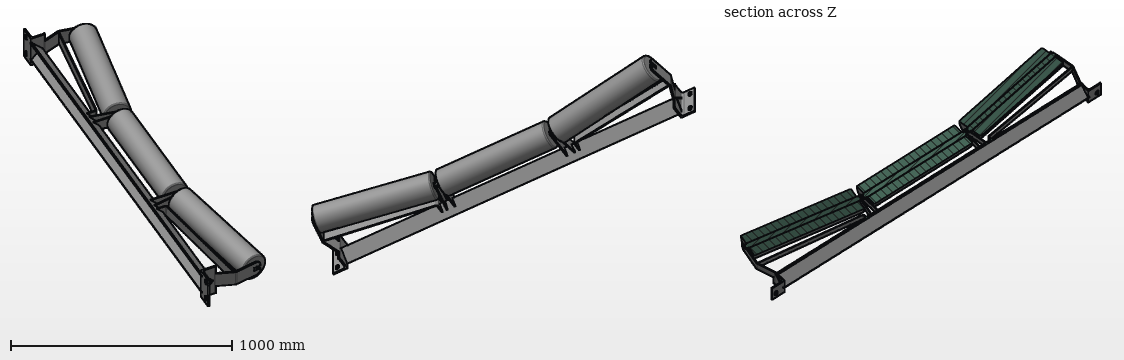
import cadquery as cq
import math

overall_length = 1900.0
trough_angle = 10.0

roller_diameter = 133.0
roller_length = 568.0
roller_edge_radius = 5.0
middle_axis_height = 160.0
side_roller_x = 602.0
side_roller_y = 215.0
shaft_diameter = 25.0
shaft_tang = 17.0
plate_offset = 295.0

beam_leg = 76.0
beam_thickness = 8.0
ridge_height = (beam_leg + beam_thickness) / math.sqrt(2)
inner_ridge_height = ridge_height - beam_thickness * math.sqrt(2)

bracket_thickness = 8.0
bracket_width = 160.0
flange_length = 75.0
foot_height = 72.0
foot_bend_radius = 11.0
foot_bend_height = 66.0
arm_width = 75.0
arm_bend_height = 158.0
arm_bend_radius = 10.0
arm_reach = 27.0
arm_corner_radius = 23.0
bolt_slot_length = 27.0
bolt_slot_width = 17.0
bolt_slot_inset = 23.0
bolt_slot_spacing = 99.0

weld_plate_thickness = 6.0
weld_plate_width = 57.0
weld_plate_bottom = 30.0
saddle_height = 182.0
strap_bend_x = 361.0
strap_bend_height = 78.0
strap_bend_radius = 5.0

half_length = overall_length / 2
foot_inner_x = half_length - flange_length
foot_x = foot_inner_x + bracket_thickness / 2
beam_length = 2 * (foot_inner_x + bracket_thickness)
tilt = math.radians(trough_angle)


def beside_roller(along, across):
    """Point in XY given along and across the axis of the right-hand side roller."""
    return (
        side_roller_x + along * math.cos(tilt) - across * math.sin(tilt),
        side_roller_y + along * math.sin(tilt) + across * math.cos(tilt),
    )


def across_at_height(along, height):
    """Distance across the side roller axis at which a plate reaches a height."""
    return (height - side_roller_y - along * math.sin(tilt)) / math.cos(tilt)


arm_bend = beside_roller(plate_offset, across_at_height(plate_offset, arm_bend_height))


def on_side_roller(body):
    """Move a body from the origin to the right-hand side roller."""
    return body.rotate((0, 0, 0), (0, 0, 1), trough_angle).translate((side_roller_x, side_roller_y, 0))


def on_left(body):
    return body.mirror("YZ")


def bent_plate(points, thickness, width, bend_radius=None):
    """Plate whose mid-thickness line follows the points in XY, centred on Z = 0."""
    path = cq.Wire.makePolygon([cq.Vector(*point) for point in points])
    if bend_radius:
        path = path.fillet(bend_radius)
    first, second = cq.Vector(*points[0]), cq.Vector(*points[1])
    start = cq.Plane(origin=first, xDir=(0, 0, 1), normal=second - first)
    return cq.Workplane(start).rect(width, thickness).sweep(cq.Workplane(path), transition="right")


def open_slot(along):
    """Cutter for the slot that drops a shaft end into a plate, around an axis along X."""
    return (
        cq.Workplane()
        .box(4 * bracket_thickness, roller_diameter, shaft_tang)
        .translate((along, (roller_diameter - shaft_tang) / 2, 0))
    )


def rod(diameter, length):
    """Cylinder along X, centred on the origin."""
    return cq.Workplane("YZ").workplane(offset=-length / 2).circle(diameter / 2).extrude(length)


def make_roller():
    roller = rod(roller_diameter, roller_length).faces("|X").edges().fillet(roller_edge_radius)
    return roller.cut(rod(shaft_diameter, roller_length))


def make_shaft():
    """Round shaft up to the plates, with square ends that fill the plate slots."""
    shaft = rod(shaft_diameter, 2 * plate_offset - bracket_thickness)
    return shaft.union(cq.Workplane().box(2 * plate_offset + weld_plate_thickness, shaft_tang, shaft_tang))


def make_beam():
    outer_foot = beam_leg / math.sqrt(2)
    tip_height = ridge_height - outer_foot
    points = [
        (ridge_height, 0),
        (tip_height, outer_foot),
        (0, inner_ridge_height),
        (inner_ridge_height, 0),
        (0, -inner_ridge_height),
        (tip_height, -outer_foot),
    ]
    return cq.Workplane("YZ").polyline(points).close().extrude(beam_length / 2, both=True)


def make_beam_hollow():
    points = [(inner_ridge_height, 0), (0, inner_ridge_height), (0, -inner_ridge_height)]
    return cq.Workplane("YZ").polyline(points).close().extrude(beam_length / 2, both=True)


def make_saddle():
    """Bent saddle carrying the right end of the middle roller and the inner end of the side roller."""
    heights = [weld_plate_bottom, saddle_height - weld_plate_thickness / 2]
    tilted_leg = [beside_roller(-plate_offset, across_at_height(-plate_offset, height)) for height in heights]
    upright_leg = [(plate_offset, height) for height in reversed(heights)]
    saddle = bent_plate(tilted_leg + upright_leg, weld_plate_thickness, weld_plate_width)
    saddle = saddle.cut(open_slot(plate_offset).translate((0, middle_axis_height, 0)))
    return saddle.cut(on_side_roller(open_slot(-plate_offset)))


def make_strap():
    """Strap from the bend of the right-hand arm down to the beam."""
    points = [arm_bend, (strap_bend_x, strap_bend_height), (strap_bend_x, weld_plate_bottom)]
    return bent_plate(points, weld_plate_thickness, weld_plate_width, strap_bend_radius)


def make_frame(bracket):
    frame = make_beam()
    hollow = make_beam_hollow()
    strap = make_strap().cut(bracket)
    for part in (make_saddle(), strap):
        notched = part.cut(hollow)
        frame = frame.union(notched).union(on_left(notched))
    return frame


def make_flange():
    flange = (
        cq.Workplane()
        .box(flange_length, bracket_thickness, bracket_width)
        .translate((half_length - flange_length / 2, bracket_thickness / 2, 0))
    )
    bolt_slots = (
        cq.Workplane("XZ")
        .center(half_length - bolt_slot_inset, 0)
        .rarray(19, bolt_slot_spacing, 1, 2)
        .slot2D(bolt_slot_length, bolt_slot_width, 90)
        .extrude(2 * bracket_thickness, both=True)
    )
    return flange.cut(bolt_slots)


def make_upright():
    """Foot and arm: one bent strip, full width up to the top of the foot and narrower above."""
    points = [(foot_x, 0), (foot_x, foot_bend_height), arm_bend, beside_roller(plate_offset, arm_reach)]
    foot = bent_plate(points, bracket_thickness, bracket_width, arm_bend_radius)
    foot_zone = cq.Workplane().box(2 * overall_length, 2 * foot_height, bracket_width)
    arm = bent_plate(points, bracket_thickness, arm_width, arm_bend_radius)
    side_roller_axis = cq.Vector(math.cos(tilt), math.sin(tilt), 0)
    tip_corners = arm.edges(cq.selectors.ParallelDirSelector(side_roller_axis)).edges(">Y")
    arm = tip_corners.fillet(arm_corner_radius)
    arm = arm.cut(on_side_roller(open_slot(plate_offset)))
    return arm.union(foot.intersect(foot_zone))


def make_bracket():
    bracket = make_flange().union(make_upright())
    inside_corner = (foot_inner_x + bracket_thickness, bracket_thickness, 0)
    bracket = bracket.edges(cq.selectors.NearestToPointSelector(inside_corner)).fillet(foot_bend_radius)
    return bracket.cut(make_beam())


right_bracket = make_bracket()
brackets = [right_bracket, on_left(right_bracket)]
frame = make_frame(right_bracket)


def at_each_station(body):
    """Copies of a body on the middle, right and left roller axes."""
    right = on_side_roller(body)
    return [body.translate((0, middle_axis_height, 0)), right, on_left(right)]


rollers = at_each_station(make_roller())
shafts = at_each_station(make_shaft())

bodies = [frame] + brackets + rollers + shafts
result = cq.Compound.makeCompound([body.solids().val() for body in bodies])